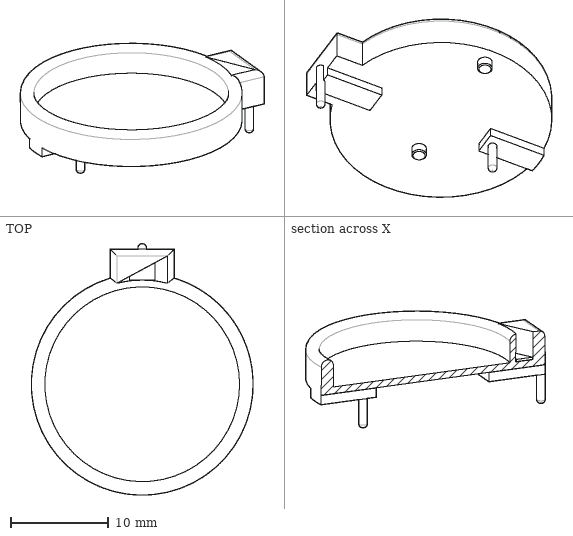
import cadquery as cq
import math

OUTER_RADIUS = 11.4
INNER_RADIUS = 20.0 / 2
BODY_HEIGHT = 3.77
FLOOR_THICKNESS = 0.78
RIM_ROUND = (OUTER_RADIUS - INNER_RADIUS) / 2
CREST_RADIUS = OUTER_RADIUS - RIM_ROUND

BOX_WIDTH = 6.6
BOX_BACK = 13.88
POCKET_HALF_WIDTH = BOX_WIDTH / 2 - RIM_ROUND
POCKET_BACK = BOX_BACK - RIM_ROUND

FOOT_DROP = 1.0
FOOT_WIDTH = 2.58
FOOT_LENGTH = 6.3
FOOT_RISE = 1.0

PIN_DIAMETER = 0.9
PIN_LENGTH = 3.51
PIN_TIP_ROUND = 0.4
REAR_PIN_Y = 25.85 - OUTER_RADIUS - PIN_DIAMETER / 2
PIN_SPACING = 20.0

PEG_DIAMETER = 1.5
PEG_CHAMFER = 0.13
PEG_XS = (-9.6, 4.78)


def block(width, y_min, y_max, z_min, z_max):
    """Box centred on x = 0 between the given y and z limits."""
    return (
        cq.Workplane("XY")
        .box(width, y_max - y_min, z_max - z_min, centered=(True, False, False))
        .translate((0, y_min, z_min))
    )


def make_cup():
    """Revolved cup whose wall ends in a fully rounded rim."""
    shoulder = BODY_HEIGHT - RIM_ROUND
    return (
        cq.Workplane("XZ")
        .lineTo(OUTER_RADIUS, 0)
        .lineTo(OUTER_RADIUS, shoulder)
        .threePointArc((CREST_RADIUS, BODY_HEIGHT), (INNER_RADIUS, shoulder))
        .lineTo(INNER_RADIUS, FLOOR_THICKNESS)
        .lineTo(0, FLOOR_THICKNESS)
        .close()
        .revolve(360, (0, 0, 0), (0, 1, 0))
    )


def make_terminal_box():
    """Box with rounded top edges, trimmed where it meets the rim crest."""
    box = block(BOX_WIDTH, 0, BOX_BACK, 0, BODY_HEIGHT)
    box = box.faces(">Z").edges("|Y or >Y").fillet(RIM_ROUND)
    return box.cut(cq.Workplane("XY").circle(CREST_RADIUS).extrude(BODY_HEIGHT))


def make_pocket():
    """Triangular pocket between the rim crest, the +X wall and a diagonal wall."""
    corner_y = math.sqrt(CREST_RADIUS**2 - POCKET_HALF_WIDTH**2)
    return (
        cq.Workplane("XY", origin=(0, 0, FLOOR_THICKNESS))
        .moveTo(-POCKET_HALF_WIDTH, corner_y)
        .threePointArc((0, CREST_RADIUS), (POCKET_HALF_WIDTH, corner_y))
        .lineTo(POCKET_HALF_WIDTH, POCKET_BACK)
        .close()
        .extrude(BODY_HEIGHT)
    )


def make_front_foot():
    """Foot whose outer end follows the cup wall."""
    foot = block(FOOT_WIDTH, -OUTER_RADIUS, FOOT_LENGTH - OUTER_RADIUS, -FOOT_DROP, 0)
    envelope = cq.Workplane("XY").circle(OUTER_RADIUS).extrude(-FOOT_DROP)
    return foot.intersect(envelope)


def make_rear_foot():
    """Foot under the terminal box, raised through the pocket floor."""
    foot = block(FOOT_WIDTH, BOX_BACK - FOOT_LENGTH, BOX_BACK, -FOOT_DROP, 0)
    return foot.union(block(FOOT_WIDTH, CREST_RADIUS, BOX_BACK, 0, FOOT_RISE))


def make_pin(y, top):
    """Vertical pin with a rounded lower tip."""
    length = top + FOOT_DROP + PIN_LENGTH
    pin = cq.Workplane("XY", origin=(0, y, top)).circle(PIN_DIAMETER / 2).extrude(-length)
    return pin.faces("<Z").edges().fillet(PIN_TIP_ROUND)


def make_peg(x):
    """Short locating peg with a chamfered end."""
    peg = cq.Workplane("XY").center(x, 0).circle(PEG_DIAMETER / 2).extrude(-FOOT_DROP)
    return peg.faces("<Z").edges().chamfer(PEG_CHAMFER)


result = make_cup().union(make_terminal_box()).cut(make_pocket())
result = result.union(make_front_foot()).union(make_rear_foot())
result = result.union(make_pin(REAR_PIN_Y, FOOT_RISE))
result = result.union(make_pin(REAR_PIN_Y - PIN_SPACING, 0))
for peg_x in PEG_XS:
    result = result.union(make_peg(peg_x))